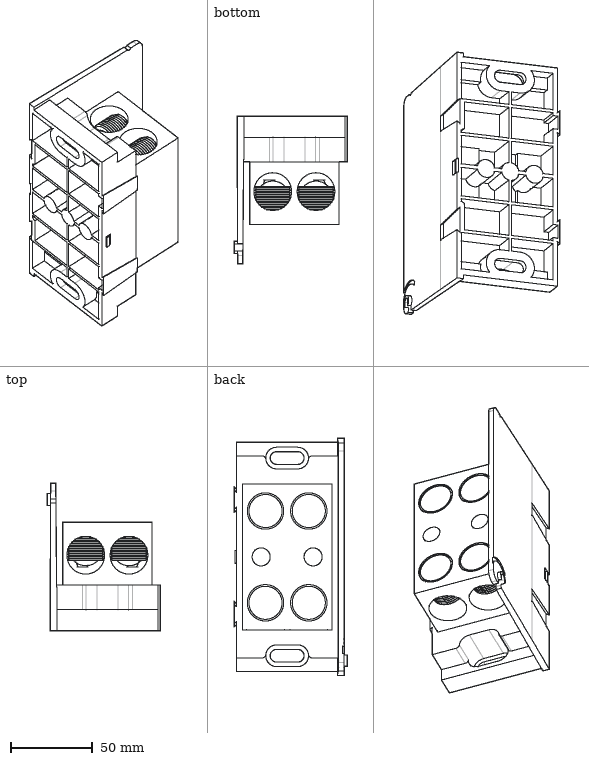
import cadquery as cq
import math

base_width = 65.8
base_depth = 28.0
mid_x = 34.9
body_half_height = 61.6
bar_half_height = 70.0
bar_depth = 13.0

panel_depth = 90.17
panel_half_base = 72.39
panel_half_top = 69.5
panel_thick_base = 4.25
panel_inner_top = 3.5
panel_outer_top = 0.25
panel_corner_radius = 5.0
knob_y = 80.1
knob_z = -63.6
knob_radius = 3.8
knob_height = 1.91
keyhole_width = 4.3
keyhole_mouth_width = 5.4
edge_notch_y = 79.1
edge_notch_radius = 1.3
edge_notch_depth = 0.9
arc_groove_inner = 11.1
arc_groove_outer = 13.4
arc_groove_depth = 0.8
arc_groove_end_angle = 126.4

pocket_left = 2.9
pocket_right = 63.0
rib_half = 0.85
center_rib_half = 1.15
inner_row = (center_rib_half, 19.4)
clip_row = (21.3, 41.0)
end_row = (42.9, 66.2)
pocket_draft = 1.0
pocket_floor = 15.0
end_floor = 9.6
end_step_z = 58.5
inner_floor = 20.0
channel_floor = 23.0
channel_half = 12.9
clip_wall_x = 5.0
clip_wall_end_z = 24.2
clip_wall_chamfer_z = 22.9
pillar_radius = 5.7
pillar_spacing = 15.85

slot_z = 60.3
slot_straight = 12.9
slot_radius = 3.8
boss_radius = 9.3
recess_radius = 6.6
recess_floor = 4.5
recess_mouth_radius = 2.2

clip_z = 34.9
clip_narrowing = 1.9
clip_flare = 1.5
slot_clip_half = 6.6
slot_clip_depth = 2.1
tab_clip_half = 6.4
tab_clip_height = 1.51
tab_recess_x = 66.1
tab_recess_half = 4.2
key_half_groove = 4.4
key_half_ridge = 4.0
groove_depth = 1.1
ridge_height = 1.0
key_edge_y = 2.1
key_start_y = 3.3
key_end_y = 7.2

block_half_width = 27.25
block_top = 66.3
block_half_height = 44.5
bore_offset = 13.2
bore_y = 46.1
bore_radius = 11.5
bore_end_z = 7.0
drill_half_angle = 59.0
set_screw_z = 28.0
set_screw_radius = 11.1
thread_root = 10.1
thread_pitch = 1.53
set_screw_end_y = 42.9
tip_radius = 7.4
tip_height = 3.2
head_radius = 5.5
head_bottom_y = 38.9
head_top_y = 46.0
shank_radius = 2.5
shank_end_y = 12.0


def drafted_prism(points, depth):
    """Polygon in X and Z, narrowing with the draft from the mounting face to the given depth."""
    return cq.Workplane("XZ").polyline(points).close().extrude(-depth, taper=pocket_draft)


def pocket(x0, x1, z0, z1, depth):
    """Rectangular pocket with drafted walls."""
    return drafted_prism([(x0, z0), (x1, z0), (x1, z1), (x0, z1)], depth)


def xyz_box(x0, x1, y0, y1, z0, z1):
    """Box between opposite corners."""
    return cq.Workplane("XY").box(x1 - x0, y1 - y0, z1 - z0, centered=False).translate((x0, y0, z0))


def y_cylinder(x, z, radius, y0, y1):
    """Cylinder parallel to Y."""
    return cq.Workplane("XZ", origin=(x, y0, z)).circle(radius).extrude(y0 - y1)


def obround(z, radius, y0, y1):
    """Round-ended bar parallel to Y, long in X, centred on the symmetry line."""
    wp = cq.Workplane("XZ", origin=(mid_x, y0, z))
    return wp.slot2D(slot_straight + 2 * radius, 2 * radius).extrude(y0 - y1)


def mirror_z(shape):
    """Mirror image across the mid plane."""
    return shape.mirror("XY")


def panel():
    """Tapered side panel with keyhole knob, edge notch and arc groove."""
    profile = [
        (0, 0), (0, base_depth), (panel_outer_top, panel_depth),
        (panel_inner_top, panel_depth), (panel_thick_base, 0),
    ]
    slab = cq.Workplane("XY", origin=(0, 0, -panel_half_base)).polyline(profile).close()
    slab = slab.extrude(2 * panel_half_base)
    outline = [
        (0, -panel_half_base), (knob_y, -panel_half_top), (panel_depth, -panel_half_top),
        (panel_depth, panel_half_top), (knob_y, panel_half_top), (0, panel_half_base),
    ]
    plate = cq.Workplane("YZ").polyline(outline).close().extrude(panel_thick_base)
    plate = plate.edges("|X and >Y").fillet(panel_corner_radius)
    slab = slab.intersect(plate)

    notch_z = panel_half_top + edge_notch_radius - edge_notch_depth
    notch = cq.Workplane("YZ").center(edge_notch_y, notch_z).circle(edge_notch_radius)
    slab = slab.cut(notch.extrude(panel_thick_base))
    slab = slab.cut(arc_groove())

    knob = cq.Workplane("YZ", origin=(-knob_height, knob_y, knob_z)).circle(knob_radius)
    slab = slab.union(knob.extrude(knob_height + panel_inner_top))
    return slab.cut(keyhole())


def keyhole():
    """Round-ended slot through the knob, flaring below it to the panel edge."""
    half = keyhole_width / 2
    mouth_half = keyhole_mouth_width / 2
    drop = panel_half_base + knob_z
    wp = cq.Workplane("YZ", origin=(-knob_height, knob_y, knob_z))
    outline = wp.moveTo(-half, 0).threePointArc((0, half), (half, 0)).lineTo(half, -knob_radius)
    outline = outline.lineTo(mouth_half, -drop).lineTo(-mouth_half, -drop).lineTo(-half, -knob_radius)
    return outline.close().extrude(knob_height + panel_thick_base)


def arc_groove():
    """Shallow groove round the knob, running out at the panel's free edge."""
    def polar(radius, angle):
        return (radius * math.cos(math.radians(angle)), radius * math.sin(math.radians(angle)))

    middle = arc_groove_end_angle / 2
    mean = (arc_groove_inner + arc_groove_outer) / 2
    cap = (arc_groove_outer - arc_groove_inner) / 2
    cap_angle = arc_groove_end_angle + math.degrees(cap / mean)
    wp = cq.Workplane("YZ", origin=(0, knob_y, knob_z))
    outline = wp.moveTo(*polar(arc_groove_outer, 0))
    outer_end = polar(arc_groove_outer, arc_groove_end_angle)
    inner_end = polar(arc_groove_inner, arc_groove_end_angle)
    outline = outline.threePointArc(polar(arc_groove_outer, middle), outer_end)
    outline = outline.threePointArc(polar(mean, cap_angle), inner_end)
    outline = outline.threePointArc(polar(arc_groove_inner, middle), polar(arc_groove_inner, 0))
    return outline.close().extrude(panel_outer_top + arc_groove_depth)


def cavities():
    """Underside pockets of the upper half, with bosses and pillars left standing."""
    left_end = mid_x - rib_half
    right_start = mid_x + rib_half
    spans = [(pocket_left, left_end), (right_start, pocket_right)]
    hollow = cq.Workplane("XY")
    for x0, x1 in spans:
        hollow = hollow.union(pocket(x0, x1, *inner_row, inner_floor))
        hollow = hollow.union(pocket(x0, x1, *end_row, end_floor))
        hollow = hollow.union(pocket(x0, x1, end_row[0], end_step_z, pocket_floor))
    for x0, x1 in [(mid_x - channel_half, left_end), (right_start, mid_x + channel_half)]:
        hollow = hollow.union(pocket(x0, x1, *inner_row, channel_floor))

    clip_pocket = [
        (clip_wall_x, clip_row[1]), (left_end, clip_row[1]), (left_end, clip_row[0]),
        (pocket_left, clip_row[0]), (pocket_left, clip_wall_chamfer_z), (clip_wall_x, clip_wall_end_z),
    ]
    hollow = hollow.union(drafted_prism(clip_pocket, pocket_floor))
    hollow = hollow.union(pocket(right_start, pocket_right, *clip_row, pocket_floor))
    tab_recess = pocket(
        right_start, tab_recess_x, clip_z - tab_recess_half, clip_z + tab_recess_half, pocket_floor
    )
    hollow = hollow.union(tab_recess)

    hollow = hollow.cut(obround(slot_z, boss_radius, 0, base_depth))
    for i in (-1, 0, 1):
        hollow = hollow.cut(y_cylinder(mid_x + i * pillar_spacing, 0, pillar_radius, 0, base_depth))
    return hollow


def dovetail(x_root, depth, root_half):
    """Dovetail that widens toward +X and narrows from the mounting face to the deck."""
    def section(narrowing):
        near = root_half - narrowing
        far = near + clip_flare
        return [
            (x_root, clip_z - near), (x_root + depth, clip_z - far),
            (x_root + depth, clip_z + far), (x_root, clip_z + near),
        ]

    wp = cq.Workplane("XZ").polyline(section(0)).close()
    wp = wp.workplane(offset=-base_depth).polyline(section(clip_narrowing)).close()
    return wp.loft(ruled=True)


def key_prism(points, half_length):
    """Polygon in X and Y, extruded to both sides of the mid plane."""
    return cq.Workplane("XY").polyline(points).close().extrude(half_length, both=True)


def ramp_key(x, height, half_length):
    """Step toward +X with a flat top and a ramp on its deck side."""
    ramp_y = (key_start_y + key_end_y) / 2
    points = [(x, key_start_y), (x + height, key_start_y), (x + height, ramp_y), (x, key_end_y)]
    return key_prism(points, half_length)


def make_housing():
    """Ribbed base with mounting bars, side panel, clips and keys."""
    body = xyz_box(0, base_width, 0, base_depth, -body_half_height, body_half_height)
    body = body.union(xyz_box(0, base_width, 0, bar_depth, -bar_half_height, bar_half_height))
    recess = obround(slot_z, recess_radius, recess_floor, base_depth)
    slot = obround(slot_z, slot_radius, 0, base_depth)
    body = body.cut(recess).cut(mirror_z(recess))
    for side in (-1, 1):
        for end in (-1, 1):
            mouth_x = mid_x + side * (slot_straight / 2 + recess_radius)
            mouth = cq.selectors.NearestToPointSelector((mouth_x, base_depth, end * body_half_height))
            body = body.edges("|Y").edges(mouth).fillet(recess_mouth_radius)

    hollow = cavities()
    half_cuts = hollow.union(slot)
    body = body.union(panel()).cut(half_cuts).cut(mirror_z(half_cuts))
    clip_slot = dovetail(0, slot_clip_depth, slot_clip_half)
    clip_tab = dovetail(base_width, tab_clip_height, tab_clip_half).cut(hollow)
    body = body.cut(clip_slot).cut(mirror_z(clip_slot))
    body = body.union(clip_tab).union(mirror_z(clip_tab))
    body = body.cut(ramp_key(0, groove_depth, key_half_groove))
    body = body.cut(key_prism([(0, 0), (groove_depth, 0), (0, key_edge_y)], key_half_groove))
    body = body.union(ramp_key(base_width, ridge_height, key_half_ridge))
    for side in (-1, 1):
        body = body.cut(y_cylinder(mid_x + side * pillar_spacing, 0, shank_radius, shank_end_y, base_depth))
    return body


def wire_bore(x):
    """Blind drilled bore with a conical end, open at the +Z face."""
    cone_depth = bore_radius / math.tan(math.radians(drill_half_angle))
    profile = [
        (0, bore_end_z - cone_depth), (bore_radius, bore_end_z),
        (bore_radius, block_half_height), (0, block_half_height),
    ]
    drill = cq.Workplane("XZ").polyline(profile).close().revolve(360, (0, 0), (0, 1))
    return drill.translate((x, bore_y, 0))


def make_block():
    """Connector block with four wire bores, set-screw holes and mounting-screw holes."""
    block = xyz_box(
        mid_x - block_half_width, mid_x + block_half_width,
        base_depth, block_top, -block_half_height, block_half_height,
    )
    for side in (-1, 1):
        x = mid_x + side * bore_offset
        cuts = wire_bore(x).union(y_cylinder(x, set_screw_z, set_screw_radius, bore_y, block_top))
        block = block.cut(cuts).cut(mirror_z(cuts))
        x = mid_x + side * pillar_spacing
        block = block.cut(y_cylinder(x, 0, head_radius, head_bottom_y, block_top))
        block = block.cut(y_cylinder(x, 0, shank_radius, base_depth, head_bottom_y))
    return block


def make_set_screw(x, z):
    """Ring-threaded set screw with a domed tip, flush with the block's top."""
    thread_count = int((block_top - set_screw_end_y) / thread_pitch)
    tip_y = set_screw_end_y - tip_height
    sphere_radius = (tip_radius ** 2 + tip_height ** 2) / (2 * tip_height)
    arc_x = tip_radius / 2
    arc_y = tip_y + sphere_radius - math.sqrt(sphere_radius ** 2 - arc_x ** 2)
    profile = cq.Workplane("XY").moveTo(0, tip_y)
    profile = profile.threePointArc((arc_x, arc_y), (tip_radius, set_screw_end_y))
    profile = profile.lineTo(thread_root, set_screw_end_y)
    for i in range(thread_count):
        root_y = set_screw_end_y + i * thread_pitch
        profile = profile.lineTo(set_screw_radius, root_y + thread_pitch / 2)
        profile = profile.lineTo(thread_root, root_y + thread_pitch)
    profile = profile.lineTo(thread_root, block_top).lineTo(0, block_top).close()
    return profile.revolve(360, (0, 0), (0, 1)).translate((x, 0, z))


def make_mounting_screw(x):
    """Cylinder-head screw that holds the block to a housing pillar."""
    head = y_cylinder(x, 0, head_radius, head_bottom_y, head_top_y)
    return head.union(y_cylinder(x, 0, shank_radius, shank_end_y, head_bottom_y))


housing = make_housing()
block = make_block()
set_screws = [
    make_set_screw(mid_x + side * bore_offset, end * set_screw_z) for side in (-1, 1) for end in (-1, 1)
]
mounting_screws = [make_mounting_screw(mid_x + side * pillar_spacing) for side in (-1, 1)]

result = cq.Compound.makeCompound(
    [housing.val(), block.val()] + [screw.val() for screw in set_screws + mounting_screws]
)